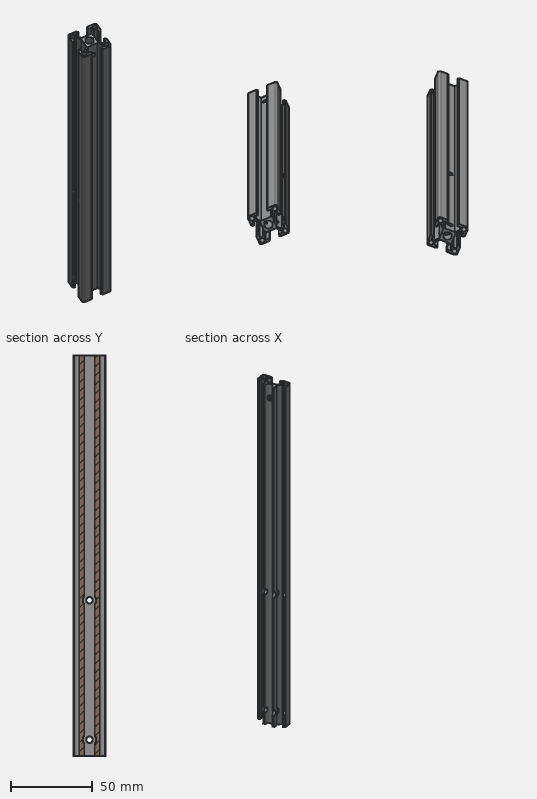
import cadquery as cq
import math

length = 245.5
width = 20.0
half_width = width / 2
corner_radius = 1.5

slot_opening = 6.1
mouth_width = 7.5
mouth_depth = 0.5
lip_thickness = 1.7
core_width = 8.0
core_bore_diameter = 5.2
corner_block = 4.5
corner_hole_diameter = 3.0
corner_hole_inset = 2.2
web_thickness = 1.2

cross_hole_diameter = 4.0
end_distance = 10.0
upper_front_hole_height = 95.5
counterbore_diameter = 8.0


def prism(size_x, size_y, center_x=0.0, center_y=0.0):
    """Full-length rectangular bar."""
    return (
        cq.Workplane("XY")
        .center(center_x, center_y)
        .rect(size_x, size_y)
        .extrude(length)
    )


def make_corner():
    """Corner in the +X +Y quadrant: solid block with a lip along each outer face."""
    lip_length = half_width - slot_opening / 2
    lip_center = half_width - lip_length / 2
    lip_offset = half_width - lip_thickness / 2
    block_center = half_width - corner_block / 2
    hole_center = half_width - corner_hole_inset

    corner = prism(corner_block, corner_block, block_center, block_center)
    corner = corner.union(prism(lip_length, lip_thickness, lip_center, lip_offset))
    corner = corner.union(prism(lip_thickness, lip_length, lip_offset, lip_center))
    corner = corner.edges("|Z and >(1, 1, 0)").fillet(corner_radius)
    mouth_offset = half_width - mouth_depth / 2
    corner = corner.cut(prism(mouth_width, mouth_depth, 0, mouth_offset))
    corner = corner.cut(prism(mouth_depth, mouth_width, mouth_offset, 0))
    corner_hole = (
        cq.Workplane("XY")
        .center(hole_center, hole_center)
        .circle(corner_hole_diameter / 2)
        .extrude(length)
    )
    return corner.cut(corner_hole)


def make_web():
    """Diagonal web from the middle of the core into the +X +Y corner block."""
    reach = (half_width - corner_block) * math.sqrt(2) + web_thickness / 2
    web = prism(reach, web_thickness, reach / 2)
    return web.rotate((0, 0, 0), (0, 0, 1), 45)


def make_profile():
    """Extruded bar: square core, four webs and four lipped corners, with a central bore."""
    profile = prism(core_width, core_width)
    quadrant = make_corner().union(make_web())
    for quarter_turn in range(4):
        profile = profile.union(quadrant.rotate((0, 0, 0), (0, 0, 1), 90 * quarter_turn))
    bore = cq.Workplane("XY").circle(core_bore_diameter / 2).extrude(length)
    return profile.cut(bore)


def front_hole(height):
    """Through hole along Y, with a clearance bore through the -Y lips down to the core."""
    hole = (
        cq.Workplane("XZ", origin=(0, half_width, height))
        .circle(cross_hole_diameter / 2)
        .extrude(width)
    )
    clearance = (
        cq.Workplane("XZ", origin=(0, -core_width / 2, height))
        .circle(counterbore_diameter / 2)
        .extrude(half_width - core_width / 2)
    )
    return hole.union(clearance)


def side_hole(height):
    """Through hole along X."""
    return (
        cq.Workplane("YZ", origin=(-half_width, 0, height))
        .circle(cross_hole_diameter / 2)
        .extrude(width)
    )


result = make_profile()
for hole_height in (end_distance, upper_front_hole_height):
    result = result.cut(front_hole(hole_height))
result = result.cut(side_hole(length - end_distance))